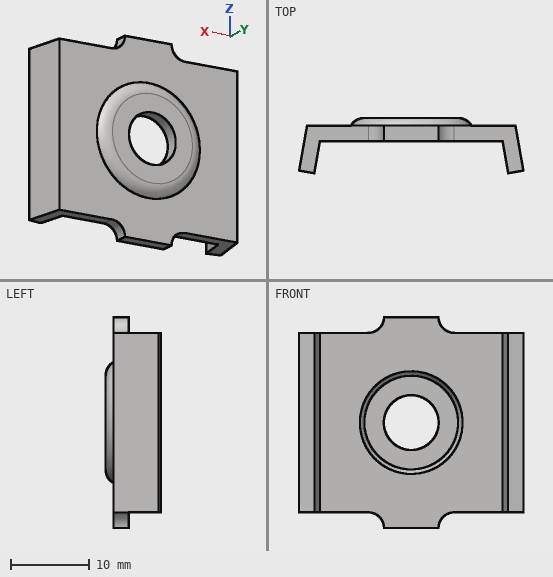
import math

import cadquery as cq

overall_width = 28.74
overall_depth = 7.11
overall_height = 27.0

sheet = 2.0
plate_height = 23.0
splay = math.radians(10)

tab_width = 7.0
tab_root_radius = (overall_height - plate_height) / 2

hole_diameter = 7.0
boss_rise = 1.0
recess_depth = boss_rise
recess_floor_radius = 6.0
recess_taper = math.radians(30)
recess_mouth_radius = recess_floor_radius + recess_depth * math.tan(recess_taper)

leg_tip_inner_y = boss_rise - overall_depth
leg_tip_outer_y = leg_tip_inner_y + sheet * math.sin(splay)
leg_tip_outer_x = overall_width / 2
leg_tip_inner_x = leg_tip_outer_x - sheet * math.cos(splay)
back_corner_x = leg_tip_outer_x + leg_tip_outer_y * math.tan(splay)
inner_corner_x = leg_tip_inner_x + (leg_tip_inner_y + sheet) * math.tan(splay)


def make_channel():
    """Plate with two splayed legs, extruded along Z and centred on the XY plane."""
    half_outline = [
        (back_corner_x, 0),
        (leg_tip_outer_x, leg_tip_outer_y),
        (leg_tip_inner_x, leg_tip_inner_y),
        (inner_corner_x, -sheet),
    ]
    mirrored = [(-x, y) for x, y in reversed(half_outline)]
    return (
        cq.Workplane("XY")
        .polyline(half_outline + mirrored)
        .close()
        .extrude(plate_height / 2, both=True)
    )


def make_tab(side):
    """Tab with concave root arcs; side is +1 for the top edge and -1 for the bottom."""
    half_tip = tab_width / 2
    half_root = half_tip + tab_root_radius
    root_z = side * plate_height / 2
    tip_z = side * overall_height / 2
    arc_offset = tab_root_radius * math.sqrt(0.5)
    arc_mid_x = half_root - arc_offset
    arc_mid_z = tip_z - side * arc_offset
    return (
        cq.Workplane("XZ")
        .moveTo(half_tip, tip_z)
        .threePointArc((arc_mid_x, arc_mid_z), (half_root, root_z))
        .lineTo(half_root, 0)
        .lineTo(-half_root, 0)
        .lineTo(-half_root, root_z)
        .threePointArc((-arc_mid_x, arc_mid_z), (-half_tip, tip_z))
        .close()
        .extrude(sheet)
    )


def revolve_about_y(profile):
    """Turn a closed XY profile a full revolution about the Y axis."""
    return profile.revolve(360, (0, 0, 0), (0, 1, 0))


def make_boss():
    """Back boss whose shoulder arc is centred on the recess floor edge, one sheet thickness away."""
    arc_centre_y = boss_rise - sheet
    base_angle = math.asin(-arc_centre_y / sheet)
    mid_angle = (base_angle + math.pi / 2) / 2
    base_radius = recess_floor_radius + sheet * math.cos(base_angle)
    mid_radius = recess_floor_radius + sheet * math.cos(mid_angle)
    mid_y = arc_centre_y + sheet * math.sin(mid_angle)
    return revolve_about_y(
        cq.Workplane("XY")
        .lineTo(-base_radius, 0)
        .threePointArc((-mid_radius, mid_y), (-recess_floor_radius, boss_rise))
        .lineTo(0, boss_rise)
        .close()
    )


def make_recess():
    """Tapered round pocket cut into the front face."""
    floor_y = recess_depth - sheet
    return revolve_about_y(
        cq.Workplane("XY")
        .moveTo(0, -sheet)
        .lineTo(-recess_mouth_radius, -sheet)
        .lineTo(-recess_floor_radius, floor_y)
        .lineTo(0, floor_y)
        .close()
    )


def make_hole():
    """Central through hole along Y."""
    return (
        cq.Workplane("XZ")
        .circle(hole_diameter / 2)
        .extrude(overall_depth, both=True)
    )


result = make_channel()
for edge_side in (1, -1):
    result = result.union(make_tab(edge_side))
result = result.union(make_boss()).cut(make_recess()).cut(make_hole())